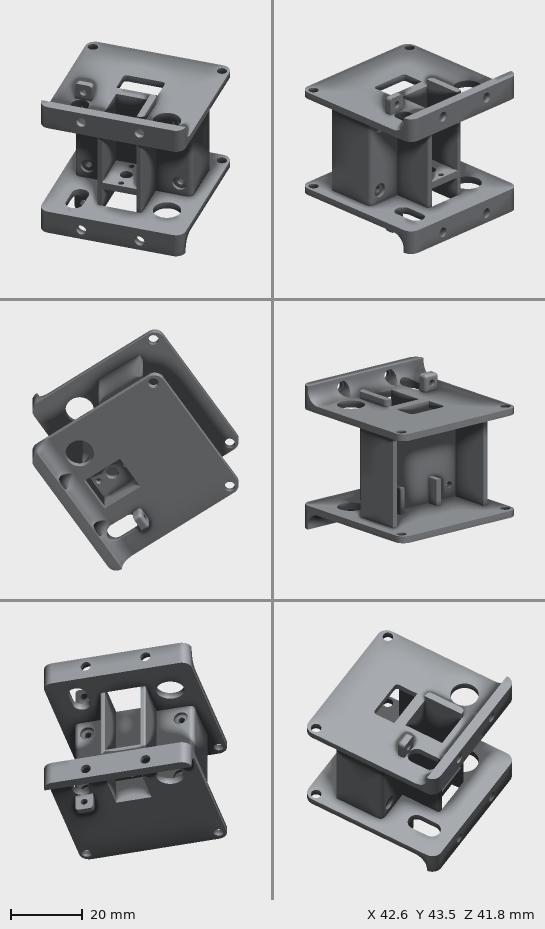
import cadquery as cq


width = 42.55
depth = 43.5
height = 41.8
plate_thickness = 2.0
lip_height = 7.0
lip_thickness = 2.9
lip_fillet = 4.0
corner_radius = 2.85
inner_z = height / 2 - lip_height
outer_z = inner_z + plate_thickness

screw_hole = 2.9
screw_head = 4.0
screw_seat = 1.3
lip_hole_x = 8.6
lip_hole_z = height / 2 - 2.95
corner_hole_x = width / 2 - 2.2
corner_hole_y = depth - 2.85

side_opening_x = 12.8
slot_width = 5.0
slot_length = 10.0
slot_back_y = 14.0
round_opening = 7.9
round_opening_y = 11.55

housing_width = 34.7
housing_front_y = 19.95
housing_back_y = 34.95
housing_radius = 1.52
front_wall = 3.0
side_wall = 1.52
wall_back_y = housing_front_y + front_wall

small_screw_x = 13.55
small_screw_z = 10.0
small_screw_hole = 1.9
small_screw_head = 4.15
small_head_depth = 1.0

channel_width = 13.22
channel_inner = 10.22
channel_front_y = 7.87
channel_radius = 0.6
shelf_bottom_z = 5.55 - inner_z
shelf_thickness = 2.1
shaft_hole = 3.65
motor_screw_hole = 1.7
motor_screw_offset = 4.52
shaft_y = (channel_front_y + housing_front_y) / 2

guard_thickness = 1.95
guard_height = 2.1
guard_radius = 1.2

window_width = 12.25
window_depth = 6.95
window_radius = 1.0
rib_spacing = 11.85
rib_thickness = 1.52
rib_depth = 3.52

lug_thickness = 2.5
lug_height = height / 2 - outer_z
lug_fillet = 1.0
lug_edge_fillet = 0.95
lug_hole = 2.0
lug_hole_height = 2.5


def box(x_min, x_max, y_min, y_max, z_min, z_max):
    """Box given by its limits along each axis."""
    size = (x_max - x_min, y_max - y_min, z_max - z_min)
    return cq.Workplane("XY").box(*size, centered=False).translate((x_min, y_min, z_min))


def centred_box(x_size, y_min, y_max, z_min, z_max):
    """Box given by its limits, centred on X = 0."""
    return box(-x_size / 2, x_size / 2, y_min, y_max, z_min, z_max)


def y_cylinder(diameter, x, z, y_min, y_max):
    """Cylinder along Y."""
    start = cq.Vector(x, y_min, z)
    solid = cq.Solid.makeCylinder(diameter / 2, y_max - y_min, start, cq.Vector(0, 1, 0))
    return cq.Workplane(obj=solid)


def z_cylinder(diameter, x, y, z_min, z_max):
    """Cylinder along Z."""
    solid = cq.Solid.makeCylinder(diameter / 2, z_max - z_min, cq.Vector(x, y, z_min))
    return cq.Workplane(obj=solid)


def make_lug():
    """Upper lug, rounded at its top and around its back face, with a hole along Y."""
    x_min = -side_opening_x - slot_width / 2
    x_max = -side_opening_x + slot_width / 2
    top_z = outer_z + lug_height
    back_y = slot_back_y + lug_thickness
    lug = box(x_min, x_max, slot_back_y, back_y, inner_z, top_z)
    lug = lug.edges("|Y and >Z").fillet(lug_fillet)
    lug = lug.faces(">Y").edges("not <Z").fillet(lug_edge_fillet)
    hole = y_cylinder(lug_hole, -side_opening_x, outer_z + lug_hole_height, slot_back_y, back_y)
    return lug.cut(hole)


def make_upper_plate():
    """Upper plate with its filleted lip, lug and screw holes."""
    lip_top = height / 2
    fillet_end_y = lip_thickness + lip_fillet
    profile = (
        cq.Workplane("YZ")
        .moveTo(0, inner_z)
        .lineTo(depth, inner_z)
        .lineTo(depth, outer_z)
        .lineTo(fillet_end_y, outer_z)
        .radiusArc((lip_thickness, outer_z + lip_fillet), lip_fillet)
        .lineTo(lip_thickness, lip_top)
        .lineTo(0, lip_top)
        .close()
    )
    plate = profile.extrude(width / 2, both=True)
    outline = centred_box(width, 0, depth, inner_z, lip_top).edges("|Z").fillet(corner_radius)
    plate = plate.intersect(outline)

    for side in (-1, 1):
        plate = plate.cut(z_cylinder(screw_hole, side * corner_hole_x, corner_hole_y, inner_z, outer_z))
        plate = plate.cut(y_cylinder(screw_hole, side * lip_hole_x, lip_hole_z, 0, screw_seat))
        plate = plate.cut(y_cylinder(screw_head, side * lip_hole_x, lip_hole_z, screw_seat, fillet_end_y))

    slot = (
        cq.Workplane("XY", origin=(-side_opening_x, slot_back_y - slot_length / 2, inner_z))
        .slot2D(slot_length, slot_width, 90)
        .extrude(lip_height)
    )
    plate = plate.cut(slot)
    plate = plate.cut(z_cylinder(round_opening, side_opening_x, round_opening_y, inner_z, lip_top))
    return plate.union(make_lug())


def make_housing():
    """Open-backed housing with counterbored screw holes in its front wall."""
    housing = centred_box(housing_width, housing_front_y, housing_back_y, -inner_z, inner_z)
    housing = housing.edges("|Z and <Y").fillet(housing_radius)
    cavity_width = housing_width - 2 * side_wall
    housing = housing.cut(centred_box(cavity_width, wall_back_y, housing_back_y, -inner_z, inner_z))

    head_back_y = housing_front_y + small_head_depth
    for x in (-small_screw_x, small_screw_x):
        for z in (-small_screw_z, small_screw_z):
            housing = housing.cut(y_cylinder(small_screw_hole, x, z, housing_front_y, wall_back_y))
            housing = housing.cut(y_cylinder(small_screw_head, x, z, housing_front_y, head_back_y))
    return housing


def make_channel():
    """Motor channel walls joined by a drilled shelf."""
    channel = centred_box(channel_width, channel_front_y, housing_front_y, -inner_z, inner_z)
    channel = channel.edges("|Z and <Y").fillet(channel_radius)
    shelf_top_z = shelf_bottom_z + shelf_thickness
    for z_min, z_max in ((-inner_z, shelf_bottom_z), (shelf_top_z, inner_z)):
        channel = channel.cut(centred_box(channel_inner, channel_front_y, housing_front_y, z_min, z_max))

    channel = channel.cut(z_cylinder(shaft_hole, 0, shaft_y, shelf_bottom_z, shelf_top_z))
    for offset in (-motor_screw_offset, motor_screw_offset):
        hole = z_cylinder(motor_screw_hole, 0, shaft_y + offset, shelf_bottom_z, shelf_top_z)
        channel = channel.cut(hole)
    return channel


def make_guard():
    """Low wall on the top plate, rounded on its outer corners."""
    inner_x = channel_inner / 2
    outer_x = inner_x + guard_thickness
    guard = box(inner_x, outer_x, channel_front_y, housing_front_y, outer_z, outer_z + guard_height)
    return guard.edges("|Z and >X").fillet(guard_radius)


def make_rib(side):
    """Short rib behind the front wall, from the lower plate up to the shelf height."""
    centre_x = side * (rib_spacing + rib_thickness) / 2
    x_min = centre_x - rib_thickness / 2
    x_max = centre_x + rib_thickness / 2
    top_z = shelf_bottom_z + shelf_thickness
    return box(x_min, x_max, wall_back_y, wall_back_y + rib_depth, -inner_z, top_z)


upper_plate = make_upper_plate()
lower_plate = upper_plate.mirror("XY")

motor_opening = centred_box(channel_inner, channel_front_y, housing_front_y, inner_z, outer_z)
window = centred_box(window_width, wall_back_y, wall_back_y + window_depth, inner_z, outer_z)
window = window.edges("|Z and >Y").fillet(window_radius)
upper_plate = upper_plate.cut(motor_opening).cut(window)
lower_plate = lower_plate.cut(motor_opening.mirror("XY"))

result = upper_plate.union(lower_plate).union(make_housing()).union(make_channel()).union(make_guard())
for rib_side in (-1, 1):
    result = result.union(make_rib(rib_side))